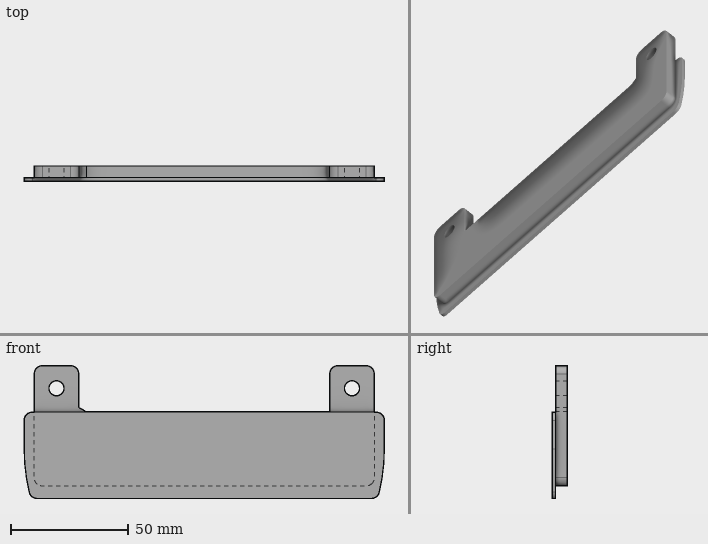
import cadquery as cq
import math

plate_width = 154.0
plate_height = 37.0
plate_thickness = 1.5
straight_side_height = 15.9
side_arc_radius = 78.5
corner_radius = 3.5

total_height = 56.8
total_thickness = 6.6
backing_thickness = total_thickness - plate_thickness
backing_bottom = 5.4
strip_top = 37.1
tab_width = 19.1
hole_spacing = 126.3
hole_diameter = 6.3
hole_drop = 9.7
gusset_width = 3.2
gusset_height = 1.8

backing_left = (plate_width - hole_spacing - tab_width) / 2
left_tab_inner = backing_left + tab_width
right_tab_inner = backing_left + hole_spacing
backing_right = right_tab_inner + tab_width


def xz_plane(y):
    """XZ sketch plane at depth y; its normal points toward -Y."""
    return cq.Workplane("XZ", origin=(0, y, 0))


def make_face_plate():
    arc_start_z = plate_height - straight_side_height

    def side_inset(drop):
        return side_arc_radius - math.sqrt(side_arc_radius**2 - drop**2)

    bottom_inset = side_inset(arc_start_z)
    middle_inset = side_inset(arc_start_z / 2)
    return (
        xz_plane(0)
        .moveTo(0, plate_height)
        .lineTo(plate_width, plate_height)
        .lineTo(plate_width, arc_start_z)
        .threePointArc(
            (plate_width - middle_inset, arc_start_z / 2),
            (plate_width - bottom_inset, 0),
        )
        .lineTo(bottom_inset, 0)
        .threePointArc((middle_inset, arc_start_z / 2), (0, arc_start_z))
        .close()
        .extrude(-plate_thickness)
        .edges("|Y and (>Z or <Z)")
        .fillet(corner_radius)
    )


def make_backing():
    body = (
        xz_plane(plate_thickness)
        .moveTo(backing_left, backing_bottom)
        .lineTo(backing_right, backing_bottom)
        .lineTo(backing_right, total_height)
        .lineTo(right_tab_inner, total_height)
        .lineTo(right_tab_inner, strip_top)
        .lineTo(left_tab_inner + gusset_width, strip_top)
        .lineTo(left_tab_inner, strip_top + gusset_height)
        .lineTo(left_tab_inner, total_height)
        .lineTo(backing_left, total_height)
        .close()
        .extrude(-backing_thickness)
        .edges("|Y and (>Z or <Z)")
        .fillet(corner_radius)
    )
    left_hole_x = backing_left + tab_width / 2
    hole_z = total_height - hole_drop
    holes = (
        xz_plane(plate_thickness)
        .pushPoints([(left_hole_x, hole_z), (left_hole_x + hole_spacing, hole_z)])
        .circle(hole_diameter / 2)
        .extrude(-backing_thickness)
    )
    return body.cut(holes)


result = make_face_plate().union(make_backing())